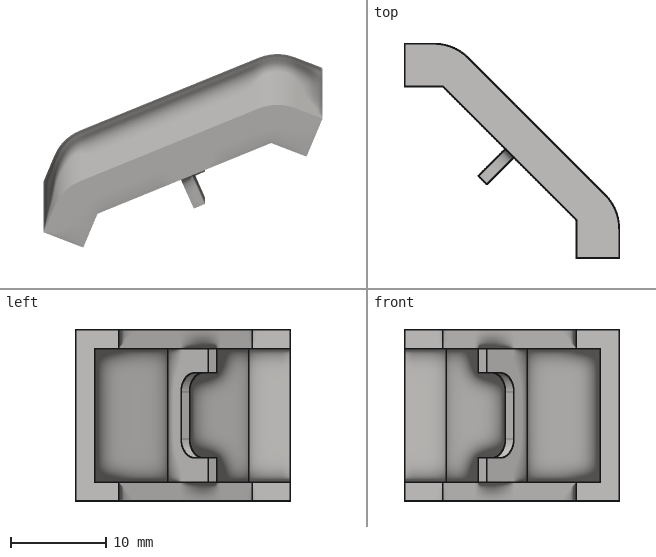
import cadquery as cq
import math

side = 22.5
height = 18.0
leg_depth = 4.5
leg_length = 4.0
plate_thickness = 4.0
outer_radius = 5.0
wall = 2.0
rib_thickness = 1.25
rib_reach = 4.0
notch_height = 8.9
notch_radius = 2.0

root_two = math.sqrt(2)
inner_sum = leg_length + side - leg_depth
outer_sum = inner_sum + plate_thickness * root_two
floor_sum = outer_sum - wall * root_two
floor_edge = side - wall


def make_body():
    """Angled bracket: two legs joined by a diagonal stretch."""
    body = (
        cq.Workplane("XY")
        .polyline([
            (0, side),
            (outer_sum - side, side),
            (side, outer_sum - side),
            (side, 0),
            (side - leg_depth, 0),
            (side - leg_depth, leg_length),
            (leg_length, side - leg_depth),
            (0, side - leg_depth),
        ])
        .close()
        .extrude(height)
    )
    return body.edges("|Z").edges(">(1, 1, 0)").fillet(outer_radius)


def make_pocket():
    """Cavity open at the inner side and at both leg ends."""
    return (
        cq.Workplane("XY", origin=(0, 0, wall))
        .polyline([
            (0, 0),
            (floor_edge, 0),
            (floor_edge, floor_sum - floor_edge),
            (floor_sum - floor_edge, floor_edge),
            (0, floor_edge),
        ])
        .close()
        .extrude(height - 2 * wall)
    )


def make_rib():
    """Notched rib across the middle of the pocket, square to its floor."""
    floor_distance = floor_sum / root_two
    rim_distance = inner_sum / root_two
    tip_distance = rim_distance - rib_reach
    rib_plane = cq.Plane(origin=(0, 0, height / 2), xDir=(1, 1, 0), normal=(1, -1, 0))
    rib = (
        cq.Workplane(rib_plane)
        .center((tip_distance + floor_distance) / 2, 0)
        .rect(floor_distance - tip_distance, height - 2 * wall)
        .extrude(rib_thickness / 2, both=True)
    )
    half_notch = notch_height / 2
    corner_start = rim_distance - notch_radius
    straight_half = half_notch - notch_radius
    notch = (
        cq.Workplane(rib_plane)
        .moveTo(tip_distance, -half_notch)
        .lineTo(corner_start, -half_notch)
        .radiusArc((rim_distance, -straight_half), -notch_radius)
        .lineTo(rim_distance, straight_half)
        .radiusArc((corner_start, half_notch), -notch_radius)
        .lineTo(tip_distance, half_notch)
        .close()
        .extrude(rib_thickness, both=True)
    )
    return rib.cut(notch)


result = make_body().cut(make_pocket()).union(make_rib())